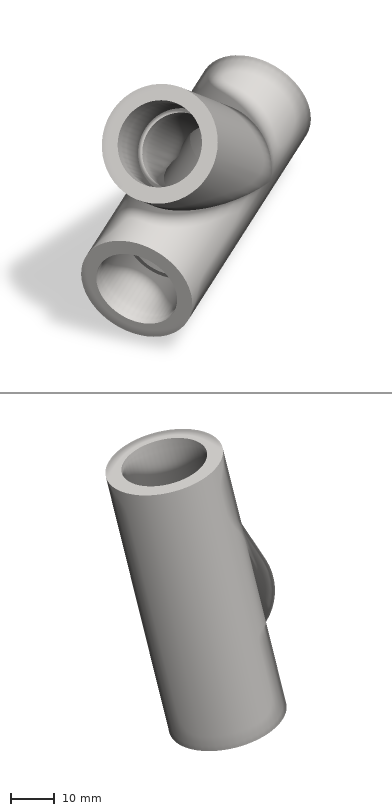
import cadquery as cq
import math

outer_diameter = 27.5
socket_diameter = 20.0
bore_diameter = 18.0
socket_depth = 17.0
run_length = 70.0
short_arm = 23.5
long_arm = run_length - short_arm
branch_length = long_arm
branch_angle = 45.0

crossing = cq.Vector(0, 0, 0)
lean = math.radians(branch_angle)
back = cq.Vector(0, 1, 0)
front = cq.Vector(0, -1, 0)
branch = cq.Vector(0, -math.cos(lean), math.sin(lean))

arms = [(back, short_arm), (front, long_arm), (branch, branch_length)]


def cylinder(diameter, start, direction, length):
    """Round bar of the given diameter from a start point along a direction."""
    return cq.Workplane(cq.Solid.makeCylinder(diameter / 2, length, start, direction))


def run_cylinder(diameter):
    """Round bar along the whole straight run."""
    return cylinder(diameter, crossing + front * long_arm, back, run_length)


def branch_cylinder(diameter):
    """Round bar from the axis crossing to the branch mouth."""
    return cylinder(diameter, crossing, branch, branch_length)


def socket(direction, arm_length):
    """Wider pipe socket, cut inwards from the open end of an arm."""
    return cylinder(socket_diameter, crossing + direction * arm_length, direction * -1, socket_depth)


body = run_cylinder(outer_diameter).union(branch_cylinder(outer_diameter))
body = body.cut(run_cylinder(bore_diameter)).cut(branch_cylinder(bore_diameter))
for arm_direction, arm_length in arms:
    body = body.cut(socket(arm_direction, arm_length))

result = body